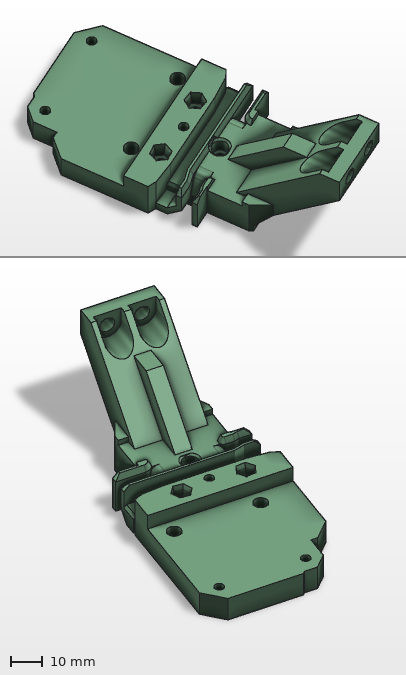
import cadquery as cq
import math

LENGTH = 113.2
WIDTH = 52.0
HALF_WIDTH = WIDTH / 2
HEIGHT = 42.0

PLATE_TOP = 8.8
BLOCK_TOP = 14.4
BLOCK_START = 42.4
BLOCK_END = 53.2

FLOOR_TOP = 6.5
LOW_FLOOR_TOP = 3.2
FLOOR_EDGE = 1.0
LOW_FLOOR_Y = -17.0
LOW_END_Y = -23.3
FOOT_X = 56.7
BLOCK_OVERLAP = 1.1
WALL_LEFT = 58.8
WALL_THICKNESS = 2.0
WALL_SHIFT = 1.08
SHIFT_START_Y = -13.6
SHIFT_END_Y = -17.8

BODY_TOP = 12.0
BODY_HALF_WIDTH = 16.9
RIM_START = 80.2
TAPER_START = 82.7
TAPER_END = 89.5
HEEL_X = 83.9
HEEL_Z = 2.8

WALL_TOP = 14.0
END_BEVEL = 2.0
WALL_BEVEL = 1.1
WING_BEVEL = 1.2

RELIEF_START_Y = 9.7
RELIEF_SLOPE_Y = 13.1
RELIEF_SLOPE_Z = 10.0
RELIEF_FOOT_Y = 16.4
RELIEF_FOOT_Z = 4.9
RELIEF_END_Z = 2.7
RELIEF_X = 65.9

WING_ROOT_X = 67.7
WING_ROOT_Y = 12.0
UPPER_WING_LEFT = 64.3
UPPER_WING_RIGHT = 66.5
LOWER_WING_LEFT = 65.6
LOWER_WING_RIGHT = 67.5
LOWER_WING_NECK = 65.0
NECK_FOOT_Y = -18.7
UPPER_ROOT_RADIUS = 3.2
LOWER_ROOT_RADIUS = 1.8

ARM_HALF_WIDTH = 13.1
ARM_TOP_START = 106.1
RIB_WIDTH = 6.1
RIB_TOP = 31.9
RIB_START = 67.6

SEAT_DIAMETER = 10.0
SEAT_Y = 6.2
SEAT_Z = 36.9
SEAT_FACE_X = 108.3
BOLT_DIAMETER = 5.3

SMALL_DIAMETER = 3.3
LARGE_DIAMETER = 5.0
SMALL_X = 6.5
LARGE_X = 37.5
PLATE_HOLES_Y = (19.0, -11.9)
BLOCK_HOLE_X = 49.9
BODY_HOLE_X = 63.1
NUT_X = 48.4
NUT_DEPTH = 5.7
NUT_CORNERS = 6.5
NUT_MOUTH_CORNERS = 7.1
NUT_MOUTH_DEPTH = 2.0
FLATS_TO_X = 30.0
NUT_PLACES = ((10.8, -6.0), (-12.2, 6.0))
BODY_BORE_DIAMETER = 5.8
BODY_BORE_MOUTH = 7.2
BODY_BORE_DEPTH = 5.7
BODY_BORE_FLATS = 6.3


def prism(points, bottom, top):
    """Vertical prism over an XY outline."""
    return cq.Workplane("XY").workplane(offset=bottom).polyline(points).close().extrude(top - bottom)


def side_prism(points, y_low, y_high):
    """Prism over an XZ outline, running along Y."""
    return cq.Workplane("XZ", origin=(0, y_high, 0)).polyline(points).close().extrude(y_high - y_low)


def base():
    """Plate with clipped corners and the raised block, whose end face is bowed."""
    plate_outline = [
        (0, 19.3),
        (6.7, HALF_WIDTH),
        (BLOCK_START, HALF_WIDTH),
        (BLOCK_START, -HALF_WIDTH),
        (19.8, -HALF_WIDTH),
        (13.7, -19.9),
        (13.7, -17.5),
        (5.2, -17.5),
        (0.8, -13.1),
        (0.8, -8.5),
        (0, -7.7),
    ]
    half_profile = [(BLOCK_END, 14.7), (52.5, 23.1), (51.2, HALF_WIDTH), (BLOCK_START, HALF_WIDTH)]
    mirrored = [(x, -y) for x, y in reversed(half_profile)]
    block = prism(half_profile + mirrored, 0, BLOCK_TOP)
    return prism(plate_outline, 0, PLATE_TOP).union(block)


def wall_outline(right_inset, end_inset):
    """Outline of the thin wall, drawn in at its right face and at both ends."""
    left = WALL_LEFT
    right = WALL_LEFT + WALL_THICKNESS - right_inset
    high_end = HALF_WIDTH - end_inset
    low_end = LOW_END_Y + end_inset
    return [
        (left, high_end),
        (left, SHIFT_START_Y),
        (left + WALL_SHIFT, SHIFT_END_Y),
        (left + WALL_SHIFT, low_end),
        (right + WALL_SHIFT, low_end),
        (right + WALL_SHIFT, SHIFT_END_Y),
        (right, SHIFT_START_Y),
        (right, high_end),
    ]


def channel():
    """Floor beside the block, turning up into the thin wall."""
    block_inside = BLOCK_END - BLOCK_OVERLAP
    wall_right = WALL_LEFT + WALL_THICKNESS
    high_floor = side_prism(
        [
            (block_inside, 0),
            (FOOT_X, 0),
            (wall_right, wall_right - FOOT_X),
            (wall_right, FLOOR_TOP),
            (block_inside, FLOOR_TOP),
        ],
        LOW_FLOOR_Y,
        HALF_WIDTH,
    )
    high_floor = high_floor.faces(">Z").edges("|X").chamfer(FLOOR_EDGE)

    low_left = WALL_LEFT + WALL_SHIFT
    low_right = low_left + WALL_THICKNESS
    low_floor = side_prism(
        [
            (block_inside, 0),
            (FOOT_X, 0),
            (low_right, low_right - FOOT_X),
            (low_right, FLOOR_TOP),
            (low_left, FLOOR_TOP),
            (low_left - (FLOOR_TOP - LOW_FLOOR_TOP), LOW_FLOOR_TOP),
            (block_inside, LOW_FLOOR_TOP),
        ],
        LOW_END_Y,
        LOW_FLOOR_Y,
    )
    wall_foot = FLOOR_TOP - FLOOR_EDGE
    bevel_foot = WALL_TOP - END_BEVEL
    full = wall_outline(0, 0)
    wall = prism(full, wall_foot, bevel_foot)
    cap = cq.Workplane("XY").workplane(offset=bevel_foot).polyline(full).close()
    cap = cap.workplane(offset=END_BEVEL).polyline(wall_outline(WALL_BEVEL, END_BEVEL)).close()
    return high_floor.union(low_floor).union(wall).union(cap.loft(ruled=True))


def underside_cut():
    """Everything below the 45 degree underside of the arm."""
    rise = LENGTH - HEEL_X
    return side_prism(
        [(HEEL_X, 0), (LENGTH, 0), (LENGTH, HEEL_Z + rise), (HEEL_X, HEEL_Z)],
        -HALF_WIDTH,
        HALF_WIDTH,
    )


def relief_cut(side):
    """Slot that runs down from the body top to its flank; side is +1 or -1."""
    drop = BODY_TOP - RELIEF_SLOPE_Z
    run = RELIEF_SLOPE_Y - RELIEF_START_Y
    radius = (run**2 + drop**2) / (2 * drop)
    half_angle = math.atan2(drop, run)
    middle_y = RELIEF_START_Y + radius * math.sin(half_angle)
    middle_z = BODY_TOP - radius * (1 - math.cos(half_angle))
    profile = (
        cq.Workplane("YZ", origin=(WALL_LEFT, 0, 0))
        .moveTo(side * RELIEF_START_Y, BODY_TOP)
        .threePointArc((side * middle_y, middle_z), (side * RELIEF_SLOPE_Y, RELIEF_SLOPE_Z))
        .lineTo(side * RELIEF_FOOT_Y, RELIEF_FOOT_Z)
        .lineTo(side * BODY_HALF_WIDTH, RELIEF_END_Z)
        .lineTo(side * BODY_HALF_WIDTH, BODY_TOP)
        .close()
    )
    return profile.extrude(RELIEF_X - WALL_LEFT)


def body():
    """Clamp body with its raised rim, tapered end and the two relief slots."""
    outline = [
        (FOOT_X, -BODY_HALF_WIDTH),
        (TAPER_START, -BODY_HALF_WIDTH),
        (TAPER_END, -ARM_HALF_WIDTH),
        (TAPER_END, ARM_HALF_WIDTH),
        (TAPER_START, BODY_HALF_WIDTH),
        (FOOT_X, BODY_HALF_WIDTH),
    ]
    slab = prism(outline, 0, WALL_TOP)
    slab = slab.cut(
        side_prism(
            [(FOOT_X, BODY_TOP), (RIM_START, BODY_TOP), (RIM_START, WALL_TOP), (FOOT_X, WALL_TOP)],
            -BODY_HALF_WIDTH,
            BODY_HALF_WIDTH,
        )
    )
    channel_space = side_prism(
        [
            (FOOT_X, 0),
            (WALL_LEFT, WALL_LEFT - FOOT_X),
            (WALL_LEFT, BODY_TOP),
            (FOOT_X, BODY_TOP),
        ],
        -BODY_HALF_WIDTH,
        BODY_HALF_WIDTH,
    )
    slab = slab.cut(channel_space)
    return slab.cut(relief_cut(1)).cut(relief_cut(-1))


def upper_wing_outline(plane, left_inset, end_inset):
    left = UPPER_WING_LEFT + left_inset
    end = HALF_WIDTH - end_inset
    root = WING_ROOT_Y + left_inset
    radius = UPPER_ROOT_RADIUS - left_inset
    corner = radius * (1 - math.sqrt(0.5))
    return (
        plane.moveTo(left, end)
        .lineTo(UPPER_WING_RIGHT, end)
        .lineTo(UPPER_WING_RIGHT, BODY_HALF_WIDTH)
        .lineTo(WING_ROOT_X, BODY_HALF_WIDTH)
        .lineTo(WING_ROOT_X, root)
        .lineTo(left + radius, root)
        .threePointArc((left + corner, root + corner), (left, root + radius))
        .close()
    )


def lower_wing_outline(plane, left_inset, end_inset):
    left = LOWER_WING_LEFT + left_inset
    neck = LOWER_WING_NECK + left_inset
    end = LOW_END_Y + end_inset
    root = -WING_ROOT_Y - left_inset
    radius = LOWER_ROOT_RADIUS - left_inset
    corner = radius * (1 - math.sqrt(0.5))
    return (
        plane.moveTo(left, end)
        .lineTo(LOWER_WING_RIGHT, end)
        .lineTo(LOWER_WING_RIGHT, -BODY_HALF_WIDTH)
        .lineTo(WING_ROOT_X, -BODY_HALF_WIDTH)
        .lineTo(WING_ROOT_X, root)
        .lineTo(neck + radius, root)
        .threePointArc((neck + corner, root - corner), (neck, root - radius))
        .lineTo(neck, -BODY_HALF_WIDTH)
        .lineTo(left, NECK_FOOT_Y)
        .close()
    )


def wing(outline):
    """Upright wing; its top is bevelled on the left face and at the free end."""
    bevel_foot = WALL_TOP - END_BEVEL
    stem = outline(cq.Workplane("XY"), 0, 0).extrude(bevel_foot)
    cap = outline(cq.Workplane("XY").workplane(offset=bevel_foot), 0, 0)
    cap = outline(cap.workplane(offset=END_BEVEL), WING_BEVEL, END_BEVEL)
    return stem.union(cap.loft(ruled=True))


def arm():
    """45 degree beam with a rib along its upper face; its underside is trimmed later."""
    arm_start = ARM_TOP_START - (HEIGHT - BODY_TOP)
    beam = side_prism(
        [
            (arm_start, BODY_TOP),
            (ARM_TOP_START, HEIGHT),
            (LENGTH, HEIGHT),
            (LENGTH, 0),
            (arm_start, 0),
        ],
        -ARM_HALF_WIDTH,
        ARM_HALF_WIDTH,
    )
    rib_rise = RIB_TOP - BODY_TOP
    rib = side_prism(
        [
            (RIB_START, BODY_TOP),
            (RIB_START + rib_rise, RIB_TOP),
            (ARM_TOP_START, RIB_TOP),
            (ARM_TOP_START, BODY_TOP),
        ],
        -RIB_WIDTH / 2,
        RIB_WIDTH / 2,
    )
    return beam.union(rib)


def bolt_seat(y):
    """U-shaped seat open to the top, with a bolt hole through the head."""
    reach = SEAT_FACE_X - RIB_START
    plane = cq.Workplane("YZ", origin=(RIB_START, y, SEAT_Z))
    seat = plane.circle(SEAT_DIAMETER / 2).extrude(reach)
    slot_height = HEIGHT - SEAT_Z
    slot = plane.center(0, slot_height / 2).rect(SEAT_DIAMETER, slot_height).extrude(reach)
    bolt = plane.circle(BOLT_DIAMETER / 2).extrude(LENGTH - RIB_START)
    return seat.union(slot).union(bolt)


def round_hole(x, y, diameter):
    return cq.Workplane("XY").center(x, y).circle(diameter / 2).extrude(HEIGHT)


def nut_pocket(y, turn):
    """Hexagonal pocket in the block, flared towards its mouth and turned about its axis."""
    flare_foot = BLOCK_TOP - NUT_MOUTH_DEPTH
    pocket = (
        cq.Workplane("XY", origin=(NUT_X, y, BLOCK_TOP - NUT_DEPTH))
        .polygon(6, NUT_CORNERS)
        .extrude(NUT_DEPTH - NUT_MOUTH_DEPTH)
    )
    flare = (
        cq.Workplane("XY", origin=(NUT_X, y, flare_foot))
        .polygon(6, NUT_CORNERS)
        .workplane(offset=NUT_MOUTH_DEPTH)
        .polygon(6, NUT_MOUTH_CORNERS)
        .loft(ruled=True)
    )
    return pocket.union(flare).rotate((NUT_X, y, 0), (NUT_X, y, 1), FLATS_TO_X + turn)


def body_bore():
    """Round seat in the body with a 45 degree lead-in, flattened on both X sides."""
    seat = (
        cq.Workplane("XY", origin=(BODY_HOLE_X, 0, BODY_TOP - BODY_BORE_DEPTH))
        .circle(BODY_BORE_DIAMETER / 2)
        .extrude(BODY_BORE_DEPTH)
    )
    mouth = (
        cq.Workplane("XY", origin=(BODY_HOLE_X, 0, BODY_TOP))
        .circle(BODY_BORE_MOUTH / 2)
        .extrude(WALL_TOP - BODY_TOP)
    )
    lead_depth = (BODY_BORE_MOUTH - BODY_BORE_DIAMETER) / 2
    lead_in = (
        cq.Workplane("XY", origin=(BODY_HOLE_X, 0, BODY_TOP))
        .circle(BODY_BORE_MOUTH / 2)
        .workplane(offset=-lead_depth)
        .circle(BODY_BORE_DIAMETER / 2)
        .loft()
    )
    flats = cq.Workplane("XY").center(BODY_HOLE_X, 0).rect(BODY_BORE_FLATS, BODY_BORE_MOUTH).extrude(HEIGHT)
    return seat.union(lead_in).union(mouth).intersect(flats)


result = base().union(channel()).union(body().union(arm()).cut(underside_cut()))
result = result.union(wing(upper_wing_outline)).union(wing(lower_wing_outline))

for seat_y in (SEAT_Y, -SEAT_Y):
    result = result.cut(bolt_seat(seat_y))

for hole_y in PLATE_HOLES_Y:
    result = result.cut(round_hole(SMALL_X, hole_y, SMALL_DIAMETER))
    result = result.cut(round_hole(LARGE_X, hole_y, LARGE_DIAMETER))

result = result.cut(round_hole(BLOCK_HOLE_X, 0, SMALL_DIAMETER))

for nut_y, nut_turn in NUT_PLACES:
    result = result.cut(round_hole(NUT_X, nut_y, SMALL_DIAMETER))
    result = result.cut(nut_pocket(nut_y, nut_turn))

result = result.cut(round_hole(BODY_HOLE_X, 0, SMALL_DIAMETER))
result = result.cut(body_bore())